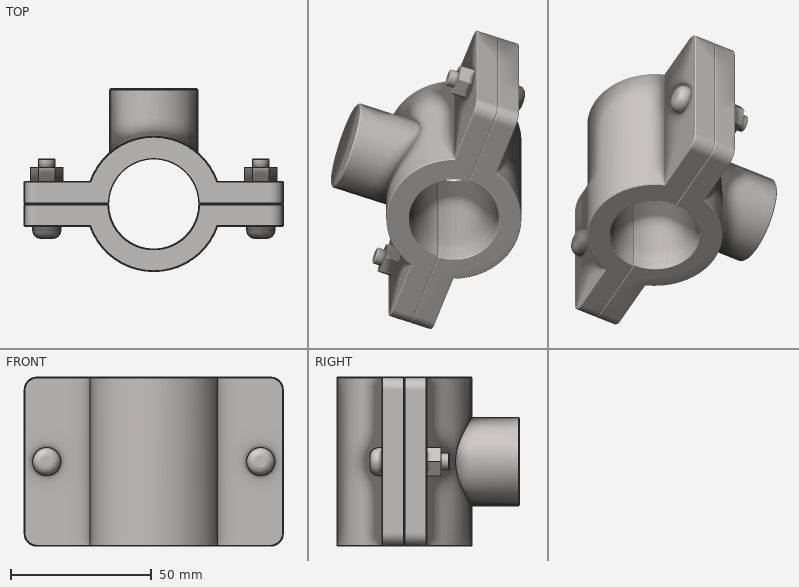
import cadquery as cq
import math

CLAMP_WIDTH = 92.0
CLAMP_HEIGHT = 60.0
BARREL_DIAMETER = 48.0
BORE_DIAMETER = 32.0
FLANGE_THICKNESS = 8.0
FLANGE_CORNER_RADIUS = 4.5
EDGE_CHAMFER = 0.3

TOTAL_DEPTH = 64.95
STUB_DIAMETER = 31.4
STUB_CHAMFER = 0.5
STUB_END_Y = TOTAL_DEPTH - BARREL_DIAMETER / 2

BOLT_SPACING = 76.0
SHANK_DIAMETER = 6.0
SHANK_PROTRUSION = 8.0
HEAD_DIAMETER = 10.0
HEAD_HEIGHT = 4.2
HEAD_ROUND = 3.0
NUT_ACROSS_FLATS = 10.0
NUT_ACROSS_CORNERS = NUT_ACROSS_FLATS / math.cos(math.pi / 6)
NUT_HEIGHT = 5.0


def plane_at(y):
    """XZ work plane at height y that extrudes towards +Y."""
    return cq.Workplane(cq.Plane(origin=(0, y, 0), xDir=(1, 0, 0), normal=(0, 1, 0)))


def make_clamp_half():
    """Solid +Y half; its chamfered mating edges leave a V groove along the joint."""
    flange = (
        plane_at(0)
        .rect(CLAMP_WIDTH, CLAMP_HEIGHT)
        .extrude(FLANGE_THICKNESS)
        .edges("|Y")
        .fillet(FLANGE_CORNER_RADIUS)
        .faces("|Y")
        .edges()
        .chamfer(EDGE_CHAMFER)
    )
    radius = BARREL_DIAMETER / 2
    half_barrel = (
        cq.Workplane("XY")
        .workplane(offset=-CLAMP_HEIGHT / 2)
        .moveTo(-radius, 0)
        .threePointArc((0, radius), (radius, 0))
        .close()
        .extrude(CLAMP_HEIGHT)
        .faces("|Z")
        .edges()
        .chamfer(EDGE_CHAMFER)
    )
    return flange.union(half_barrel)


def make_stub():
    return (
        plane_at(0)
        .circle(STUB_DIAMETER / 2)
        .extrude(STUB_END_Y)
        .faces(">Y")
        .edges()
        .chamfer(STUB_CHAMFER)
    )


def make_bore():
    return (
        cq.Workplane("XY")
        .workplane(offset=-CLAMP_HEIGHT / 2)
        .circle(BORE_DIAMETER / 2)
        .extrude(CLAMP_HEIGHT)
    )


def bore_wall(half):
    """Half-cylinder bore face, the face whose centre lies nearest the barrel axis."""
    return half.faces(cq.NearestToPointSelector((0, 0, 0)))


def make_bolt():
    shank = (
        plane_at(-FLANGE_THICKNESS)
        .circle(SHANK_DIAMETER / 2)
        .extrude(2 * FLANGE_THICKNESS + SHANK_PROTRUSION)
        .faces(">Y")
        .edges()
        .chamfer(EDGE_CHAMFER)
    )
    head = (
        plane_at(-FLANGE_THICKNESS - HEAD_HEIGHT)
        .circle(HEAD_DIAMETER / 2)
        .extrude(HEAD_HEIGHT)
        .faces("<Y")
        .edges()
        .fillet(HEAD_ROUND)
    )
    nut = (
        plane_at(FLANGE_THICKNESS)
        .polygon(6, NUT_ACROSS_CORNERS)
        .extrude(NUT_HEIGHT)
    )
    return shank.union(head).union(nut)


bore = make_bore()

back_half = make_clamp_half().cut(bore)
back_half = bore_wall(back_half).edges("|Z").chamfer(EDGE_CHAMFER)

front_half = make_clamp_half().mirror("XZ").cut(bore)
front_half = bore_wall(front_half).edges().chamfer(EDGE_CHAMFER)

body = back_half.union(make_stub().cut(bore)).union(front_half)
bolt = make_bolt()
for side in (-1, 1):
    body = body.union(bolt.translate((side * BOLT_SPACING / 2, 0, 0)))

result = body